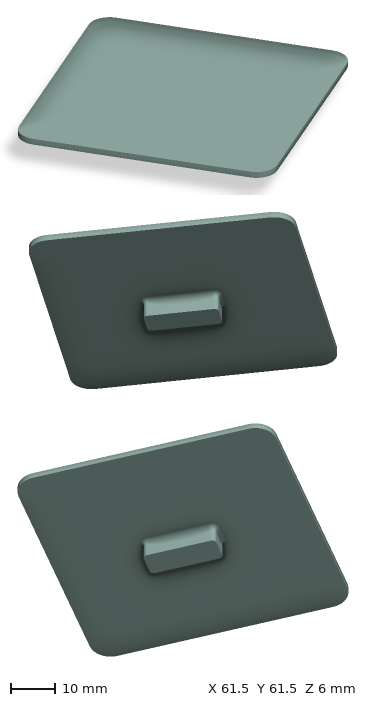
import cadquery as cq

plate_side = 61.5
plate_thickness = 1.5
plate_corner_radius = 5.0

overall_height = 6.0
stem_length = 17.3
stem_width = 6.15
stem_corner_radius = 1.0
root_fillet_radius = 1.0

stem_height = overall_height - plate_thickness


def rounded_block(length, width, height, corner_radius):
    """Block standing on Z = 0 with rounded vertical edges."""
    block = cq.Workplane("XY").box(length, width, height, centered=(True, True, False))
    return block.edges("|Z").fillet(corner_radius)


stem = rounded_block(stem_length, stem_width, stem_height, stem_corner_radius)
plate = rounded_block(plate_side, plate_side, plate_thickness, plate_corner_radius)
plate = plate.translate((0, 0, stem_height))

root_zone = cq.selectors.BoxSelector(
    (-stem_length, -stem_width, stem_height - root_fillet_radius / 2),
    (stem_length, stem_width, stem_height + plate_thickness / 2),
)
result = plate.union(stem).edges(root_zone).fillet(root_fillet_radius)